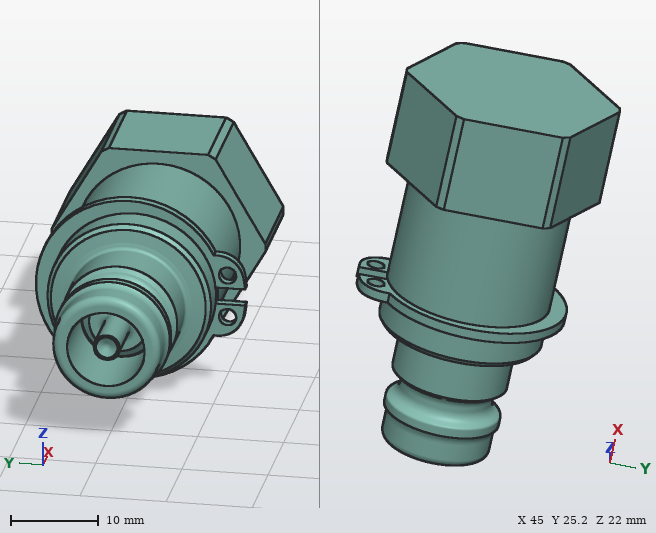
import cadquery as cq
import math

total_length = 45.0

mouth_radius = 5.35
nose_radius = 6.25
nose_round_end = 0.85
nose_end = 2.92
collar_radius = 6.7
collar_start = 4.0
collar_end = 4.95
collar_round_end = 5.2
collar_round_radius = 6.55
groove_entry_x = 5.5
groove_entry_radius = 6.08
groove_floor_start = 6.7
groove_floor_end = 7.25
groove_floor_radius = 5.4
groove_exit_x = 8.32
groove_exit_radius = 6.15
neck_start = 8.78
neck_end = 13.5
neck_fillet_end = 14.0
neck_fillet_radius = 7.15

body_radius = 9.5
shoulder_start = 14.1
shoulder_inner_radius = 7.45
bevel_start = 14.3
bevel_radius = 9.0
bevel_end = 14.9

bore_radius = 4.5
bore_depth = 9.0
valve_base_radius = 4.4
valve_top_radius = 3.4
valve_height = 0.9
pin_radius = 1.508
pin_root_round = 1.0
pin_recess = 0.6
dimple_radius = 1.25
dimple_depth = 0.65

nut_start = 33.5
across_flats = 22.0
nut_turned_radius = 12.4

ring_start = 18.3
ring_thickness = 1.15
ring_end = ring_start + ring_thickness
ring_radius = 10.95
ring_offset = 0.55
ring_groove_start = 18.2
ring_seat_radius = 9.0
lug_reach = 12.82
lug_height = 4.95
lug_round = 3.05
lug_gap = 2.0
lug_outer_radius = math.hypot(lug_reach, lug_gap / 2)
lug_hole_diameter = 2.0
lug_hole_y = -10.8
lug_hole_z = 2.55


def cylinder(start, end, radius):
    return cq.Workplane("YZ").workplane(offset=start).circle(radius).extrude(end - start)


def make_body():
    """Turned outer profile, revolved about X."""
    profile = (
        cq.Workplane("XY")
        .lineTo(0, mouth_radius)
        .tangentArcPoint((nose_round_end, nose_radius), relative=False)
        .lineTo(nose_end, nose_radius)
        .tangentArcPoint((collar_start, collar_radius), relative=False)
        .lineTo(collar_end, collar_radius)
        .tangentArcPoint((collar_round_end, collar_round_radius), relative=False)
        .lineTo(groove_entry_x, groove_entry_radius)
        .tangentArcPoint((groove_floor_start, groove_floor_radius), relative=False)
        .lineTo(groove_floor_end, groove_floor_radius)
        .tangentArcPoint((groove_exit_x, groove_exit_radius), relative=False)
        .lineTo(neck_start, collar_radius)
        .lineTo(neck_end, collar_radius)
        .tangentArcPoint((neck_fillet_end, neck_fillet_radius), relative=False)
        .lineTo(shoulder_start, shoulder_inner_radius)
        .lineTo(bevel_start, bevel_radius)
        .lineTo(bevel_end, body_radius)
        .lineTo(nut_start, body_radius)
        .lineTo(nut_start, 0)
        .close()
    )
    return profile.revolve(360, (0, 0, 0), (1, 0, 0))


def make_valve_pin():
    """Conical valve head on the bore floor, with a dimpled centre pin."""
    valve_top = bore_depth - valve_height
    profile = (
        cq.Workplane("XY")
        .moveTo(pin_recess + dimple_depth, 0)
        .lineTo(pin_recess, dimple_radius)
        .lineTo(pin_recess, pin_radius)
        .lineTo(valve_top - pin_root_round, pin_radius)
        .tangentArcPoint((valve_top, pin_radius + pin_root_round), relative=False)
        .lineTo(valve_top, valve_top_radius)
        .lineTo(bore_depth, valve_base_radius)
        .lineTo(bore_depth, 0)
        .close()
    )
    return profile.revolve(360, (0, 0, 0), (1, 0, 0))


def make_nut():
    """Hexagon with flats at +Z and -Z and its corners turned round."""
    corner_diameter = across_flats / math.cos(math.pi / 6)
    hexagon = (
        cq.Workplane("YZ")
        .workplane(offset=nut_start)
        .polygon(6, corner_diameter)
        .extrude(total_length - nut_start)
    )
    return hexagon.intersect(cylinder(nut_start, total_length, nut_turned_radius))


def make_ring():
    """Open retaining ring with a pierced lug on each side of the gap."""
    plane = cq.Workplane("YZ").workplane(offset=ring_start)
    ring = plane.center(ring_offset, 0).circle(ring_radius).extrude(ring_thickness)
    lugs = (
        plane.center(-lug_outer_radius / 2, 0)
        .rect(lug_outer_radius, 2 * lug_height)
        .extrude(ring_thickness)
        .intersect(cylinder(ring_start, ring_end, lug_outer_radius))
        .edges("|X")
        .edges("<Y")
        .fillet(lug_round)
    )
    gap = plane.center(-lug_outer_radius / 2, 0).rect(lug_outer_radius, lug_gap).extrude(ring_thickness)
    holes = (
        plane.pushPoints([(lug_hole_y, side * lug_hole_z) for side in (-1, 1)])
        .circle(lug_hole_diameter / 2)
        .extrude(ring_thickness)
    )
    seat = cylinder(ring_start, ring_end, ring_seat_radius)
    return ring.union(lugs).cut(gap).cut(holes).cut(seat)


ring_groove = cylinder(ring_groove_start, ring_end, body_radius).cut(
    cylinder(ring_groove_start, ring_end, ring_seat_radius)
)
socket = cylinder(0, bore_depth, bore_radius)

result = (
    make_body()
    .cut(ring_groove)
    .cut(socket)
    .union(make_valve_pin())
    .union(make_nut())
    .union(make_ring())
)